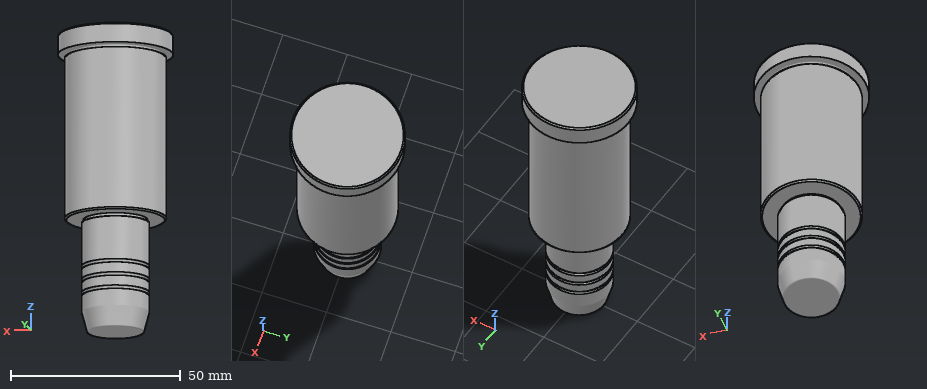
import cadquery as cq
import math

total_height = 90.0
head_height = 6.0
body_length = 50.0
tip_length = 6.0

head_radius = 17.0
body_radius = 15.0
pin_radius = 10.0

head_chamfer = 0.5
body_chamfer = 0.5
tip_fillet = 0.5
tip_angle = 15.0

relief_depth = 0.5
relief_width = 1.0

groove_radius = 0.5
pin_groove_count = 3
pin_groove_pitch = 4.0
lowest_pin_groove_height = 11.5

head_bottom = total_height - head_height
body_bottom = head_bottom - body_length


def cylinder(radius, bottom, top):
    """Solid cylinder on the Z axis between two heights."""
    return cq.Workplane("XY").workplane(offset=bottom).circle(radius).extrude(top - bottom)


def cut_round_groove(part, radius, height):
    """Cut a half-round groove into a cylinder of the given radius, centred on the given height."""
    section = cq.Workplane("XZ").center(radius, height).circle(groove_radius)
    ring = section.revolve(360, (-radius, 0), (-radius, 1))
    return part.cut(ring)


def make_head():
    return cylinder(head_radius, head_bottom, total_height).faces(">Z").edges().chamfer(head_chamfer)


def make_body():
    body = cylinder(body_radius, body_bottom, head_bottom).faces("<Z").edges().chamfer(body_chamfer)
    return cut_round_groove(body, body_radius, head_bottom - groove_radius)


def make_pin():
    taper_inset = tip_length * math.tan(math.radians(tip_angle))
    relief_bottom = body_bottom - relief_width
    pin = cylinder(pin_radius, 0, relief_bottom)
    pin = pin.faces("<Z").edges().chamfer(tip_length, taper_inset)
    pin = pin.faces("<Z").edges().fillet(tip_fillet)
    for index in range(pin_groove_count):
        pin = cut_round_groove(pin, pin_radius, lowest_pin_groove_height + index * pin_groove_pitch)
    relief_neck = cylinder(pin_radius - relief_depth, relief_bottom, body_bottom)
    return pin.union(relief_neck)


result = make_head().union(make_body()).union(make_pin())